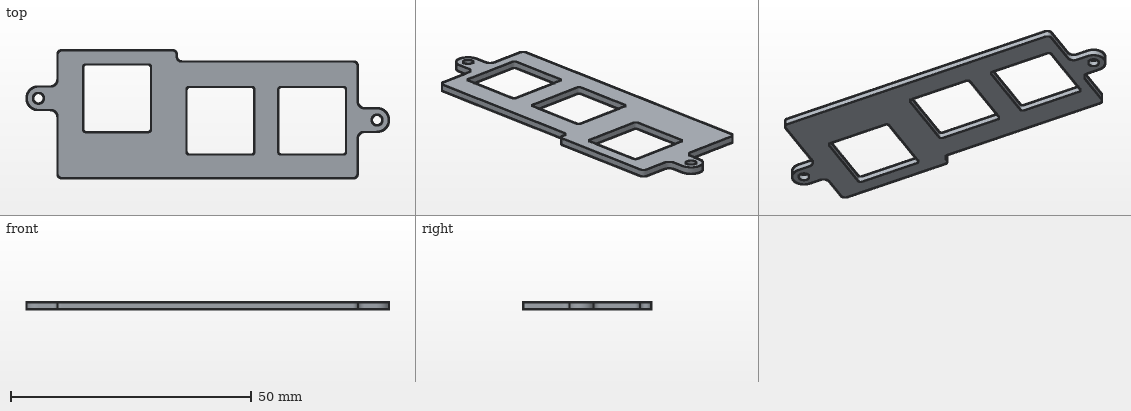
import cadquery as cq

overall_length = 75.4
plate_length = 62.5
plate_depth = 26.7
thickness = 1.5
step_x = 24.9
step_drop = 2.3
corner_radius = 1.0

tab_width = 5.0
tab_radius = tab_width / 2
tab_root_radius = 1.35
tab_hole_diameter = 2.2
left_tab_reach = 6.4
right_tab_reach = overall_length - plate_length - left_tab_reach
left_tab_y = 16.65
right_tab_y = 12.15
left_hole_x = tab_radius - left_tab_reach
right_hole_x = plate_length + right_tab_reach - tab_radius

window_side = 14.0
window_corner_radius = 0.5
window_pitch = 19.1
middle_window_x = 33.9
lower_window_y = 12.0
window_centers = [
    (12.45, left_tab_y),
    (middle_window_x, lower_window_y),
    (middle_window_x + window_pitch, lower_window_y),
]


def stepped_plate():
    """Plate with a shallow step in its back edge and rounded corners."""
    shallow_depth = plate_depth - step_drop
    outline = [
        (0, 0),
        (plate_length, 0),
        (plate_length, shallow_depth),
        (step_x, shallow_depth),
        (step_x, plate_depth),
        (0, plate_depth),
    ]
    plate = cq.Workplane("XY").polyline(outline).close().extrude(thickness)
    return plate.edges("|Z").fillet(corner_radius)


def tab(edge_x, hole_x, center_y):
    """Round-ended tab from the plate edge to the hole position."""
    arm = (
        cq.Workplane("XY")
        .center((edge_x + hole_x) / 2, center_y)
        .rect(abs(edge_x - hole_x), tab_width)
        .extrude(thickness)
    )
    end = cq.Workplane("XY").center(hole_x, center_y).circle(tab_radius).extrude(thickness)
    return arm.union(end)


def round_tab_roots(body, edge_x, center_y):
    """Fillet the two inner corners where a tab meets the plate."""
    for side in (-1, 1):
        root = (edge_x, center_y + side * tab_radius, thickness / 2)
        body = body.edges(cq.selectors.NearestToPointSelector(root)).fillet(tab_root_radius)
    return body


def windows():
    """Cutters for the three square openings."""
    cutters = (
        cq.Workplane("XY")
        .pushPoints(window_centers)
        .rect(window_side, window_side)
        .extrude(thickness)
    )
    return cutters.edges("|Z").fillet(window_corner_radius)


def tab_holes():
    """Cutters for the screw holes, concentric with the tab ends."""
    return (
        cq.Workplane("XY")
        .pushPoints([(left_hole_x, left_tab_y), (right_hole_x, right_tab_y)])
        .circle(tab_hole_diameter / 2)
        .extrude(thickness)
    )


body = stepped_plate()
body = body.union(tab(0, left_hole_x, left_tab_y))
body = body.union(tab(plate_length, right_hole_x, right_tab_y))
body = round_tab_roots(body, 0, left_tab_y)
body = round_tab_roots(body, plate_length, right_tab_y)
result = body.cut(windows()).cut(tab_holes())